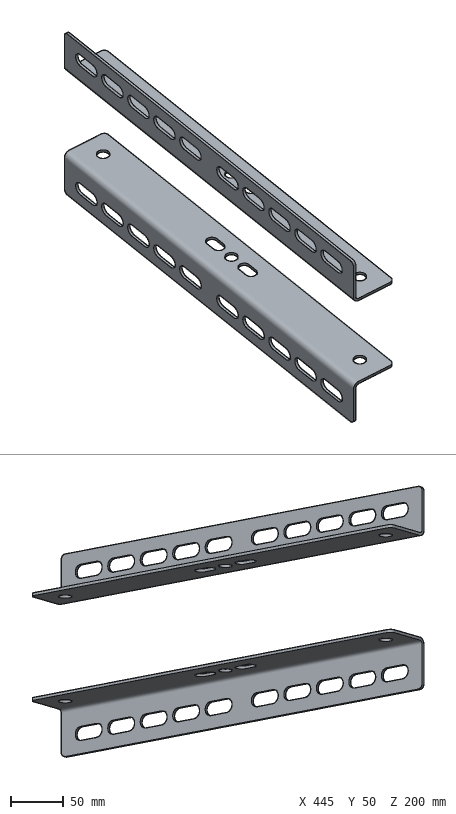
import cadquery as cq

length = 445.0
flange_width = 50.0
pair_height = 200.0

thickness = 3.0
inner_bend_radius = 3.5
outer_bend_radius = inner_bend_radius + thickness
corner_radius = 5.0

slots_per_row = 5
slot_length = 33.0
slot_width = 14.0
slot_pitch = 40.0
inner_slot_offset = 28.5
slot_edge_distance = 20.0

hole_diameter = 13.0
end_hole_offset = 197.5
mount_slot_length = 22.2
mount_slot_width = 12.0
mount_slot_offset = 25.0
hole_edge_distance = 22.2

slot_row_z = flange_width - slot_edge_distance
hole_row_y = flange_width - hole_edge_distance


def bend_block(corner, bend_radius):
    """Square bar whose edge at Y = Z = corner is rounded by bend_radius."""
    return (
        cq.Workplane("YZ")
        .moveTo(corner, corner)
        .rect(flange_width, flange_width, centered=False)
        .extrude(length / 2, both=True)
        .edges("|X and <Y and <Z")
        .fillet(bend_radius)
    )


def bent_sheet():
    """Plain L-shaped sheet with a rounded bend and rounded free corners."""
    sheet = bend_block(0, outer_bend_radius).cut(bend_block(thickness, inner_bend_radius))
    sheet = sheet.faces(">Z").edges("|Y").fillet(corner_radius)
    return sheet.faces(">Y").edges("|Z").fillet(corner_radius)


def upright_slots():
    """Cutters for the two mirrored rows of slots in the upright flange."""
    offsets = [inner_slot_offset + i * slot_pitch for i in range(slots_per_row)]
    centres = [(side * x, slot_row_z) for side in (-1, 1) for x in offsets]
    return cq.Workplane("XZ").pushPoints(centres).slot2D(slot_length, slot_width).extrude(-thickness)


def flat_holes():
    """Cutters for the centre hole and the two end holes in the flat flange."""
    centres = [(x, hole_row_y) for x in (-end_hole_offset, 0, end_hole_offset)]
    return cq.Workplane("XY").pushPoints(centres).circle(hole_diameter / 2).extrude(thickness)


def flat_slots():
    """Cutters for the two slots beside the centre hole of the flat flange."""
    centres = [(x, hole_row_y) for x in (-mount_slot_offset, mount_slot_offset)]
    return (
        cq.Workplane("XY")
        .pushPoints(centres)
        .slot2D(mount_slot_length, mount_slot_width)
        .extrude(thickness)
    )


def angle_bracket():
    """One complete bracket with its upright flange pointing up."""
    return bent_sheet().cut(upright_slots()).cut(flat_holes()).cut(flat_slots())


flat_face_height = pair_height / 2 - flange_width
brackets = []
for flipped in (False, True):
    bracket = angle_bracket().translate((0, -flange_width / 2, flat_face_height))
    if flipped:
        bracket = bracket.mirror("XY")
    brackets.append(bracket.val())

result = cq.Compound.makeCompound(brackets)